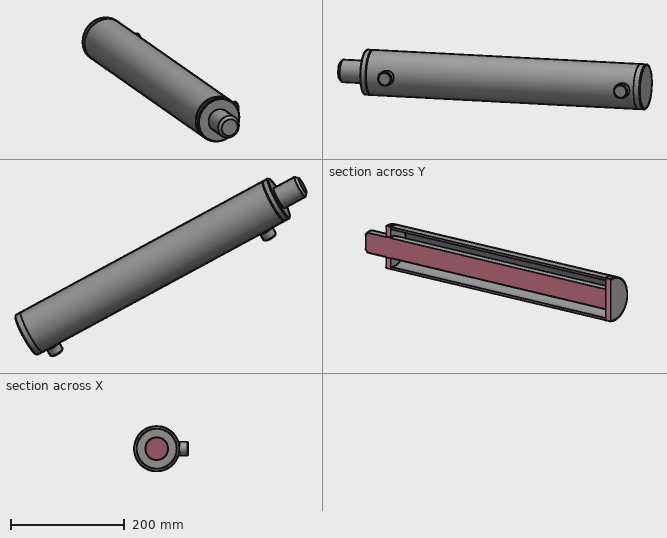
import cadquery as cq


total_length = 560.0
outer_diameter = 80.0
overall_width = 95.0
outer_radius = outer_diameter / 2

cap_length = 12.0
barrel_end = 501.0
ring_length = 1.5
gland_end = 513.0
ring_end = barrel_end + ring_length

barrel_wall = 5.0
rod_diameter = 40.5
rod_chamfer = 5.0
end_chamfer = 1.5

port_diameter = 25.0
port_chamfer = 1.5
port_stations = [31.5, 463.0]
port_tip = overall_width - outer_radius


def round_bar(start, end, diameter):
    """Solid cylinder along X between two stations."""
    return cq.Workplane("YZ", origin=(start, 0, 0)).circle(diameter / 2).extrude(end - start)


def sleeve(start, end, outside, inside):
    """Hollow cylinder along X between two stations."""
    return round_bar(start, end, outside).cut(round_bar(start, end, inside))


def make_end_cap():
    """Solid disc closing the barrel, chamfered on its outer face."""
    return round_bar(0, cap_length, outer_diameter).faces("<X").chamfer(end_chamfer)


def make_barrel():
    """Plain tube between the end cap and the seal ring."""
    return sleeve(cap_length, barrel_end, outer_diameter, outer_diameter - 2 * barrel_wall)


def make_seal_ring():
    """Thin flush ring between the barrel and the gland."""
    return sleeve(barrel_end, ring_end, outer_diameter, rod_diameter)


def make_gland():
    """Rod guide, chamfered on its outer rim and bored for the rod."""
    blank = round_bar(ring_end, gland_end, outer_diameter).faces(">X").chamfer(end_chamfer)
    return blank.cut(round_bar(ring_end, gland_end, rod_diameter))


def make_rod():
    """Rod from the end cap out through the gland, chamfered at its tip."""
    return round_bar(cap_length, total_length, rod_diameter).faces(">X").chamfer(rod_chamfer)


def make_port(station):
    """Round boss with a flat foot that touches the barrel along its +Y line."""
    return (
        cq.Workplane("XZ", origin=(station, port_tip, 0))
        .circle(port_diameter / 2)
        .extrude(port_tip - outer_radius)
        .faces(">Y")
        .chamfer(port_chamfer)
    )


end_cap = make_end_cap()
barrel = make_barrel()
seal_ring = make_seal_ring()
gland = make_gland()
rod = make_rod()
ports = [make_port(station) for station in port_stations]

result = cq.Compound.makeCompound([
    end_cap.val(),
    barrel.val(),
    seal_ring.val(),
    gland.val(),
    rod.val(),
    *[port.val() for port in ports],
])